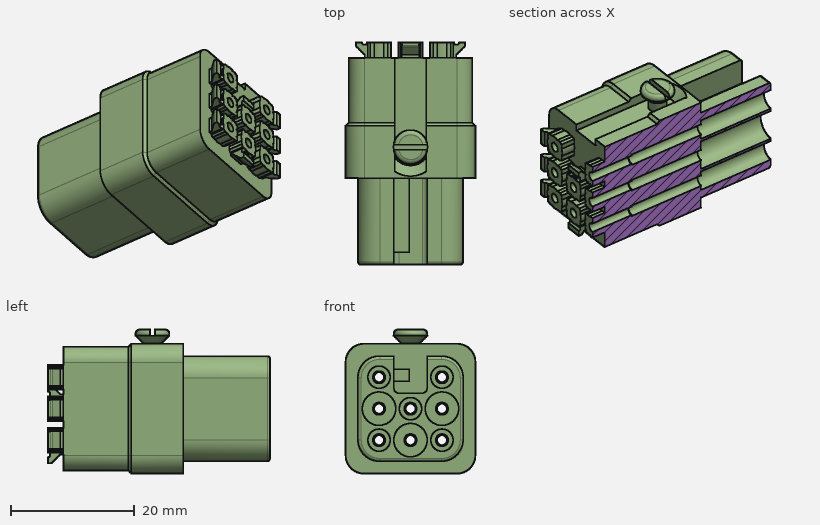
import cadquery as cq
import math


flange_size = 21.0
flange_corner = 3.0
flange_length = 8.9
wall_step = 0.5
body_size = flange_size - 2 * wall_step
body_corner = flange_corner - wall_step
housing_length = 19.4
plug_size = 17.0
plug_corner = 3.5
plug_length = 14.0
plug_edge_radius = 0.5

slot_width = 5.35
slot_floor_z = 2.5
slot_corner = 0.8
rib_width = 2.5
rib_bottom_z = 4.4
rib_top_z = 6.35
rib_setback = 2.0

groove_width = 5.1
groove_radius = 3.0
groove_floor_z = 8.8
screw_y = 5.0
screw_shank_diameter = 3.0
screw_head_diameter = 5.5
screw_top_z = 12.8
screw_crown_radius = 0.75
screw_rim_height = 0.25
driver_slot_width = 0.8
driver_slot_depth = 1.0

pitch = 5.08
wide_bore = 5.4
narrow_bore = 3.6
bore_depth = plug_length
contact_bore = 2.0
contact_bore_depth = plug_length
through_bore = 1.6
contact_diameter = 4.0
contact_flats = 3.72
contact_chamfer_along = 0.45
contact_chamfer_across = 0.25
contact_length = 2.5

hook_width = 2.8
hook_reach = 3.75
hook_neck = 2.33
hook_tip_height = 0.6
hook_tip_radius = 0.4
notch_reach = 2.75
notch_depth = 0.35
notch_radius = 0.3

contacts = [
    (-1, 1, narrow_bore, 180),
    (-1, 0, wide_bore, 180),
    (-1, -1, narrow_bore, 180),
    (1, 1, narrow_bore, 0),
    (1, 0, wide_bore, 0),
    (1, -1, narrow_bore, 0),
    (0, 0, narrow_bore, 90),
    (0, -1, wide_bore, -90),
]

root_depth = 1.0

front_y = -plug_length
contact_end_y = housing_length + contact_length


def section(y):
    """Sketch plane facing +Y at the given y; local (u, v) map to (-X, Z)."""
    return cq.Workplane(cq.Plane(origin=(0, y, 0), xDir=(-1, 0, 0), normal=(0, 1, 0)))


def box(x_min, x_max, y_min, y_max, z_min, z_max):
    size = (x_max - x_min, y_max - y_min, z_max - z_min)
    return cq.Workplane("XY").box(*size, centered=False).translate((x_min, y_min, z_min))


def square_prism(size, corner, y_start, y_end):
    return section(y_start).rect(size, size).extrude(y_end - y_start).edges("|Y").fillet(corner)


def make_housing():
    flange = square_prism(flange_size, flange_corner, 0, flange_length)
    flange = flange.faces(">Y").chamfer(wall_step)
    body = square_prism(body_size, body_corner, 0, housing_length)
    plug = square_prism(plug_size, plug_corner, front_y, 0)
    plug = plug.faces("<Y").edges().fillet(plug_edge_radius)
    return flange.union(body).union(plug)


def make_coding_slot():
    """Slot along the top of the plug, less the rib left on its -X wall."""
    half = slot_width / 2
    top = plug_size / 2
    slot = box(-half, half, front_y, 0, slot_floor_z, top)
    slot = slot.edges("|Y and <Z").fillet(slot_corner)
    rib = box(-half, rib_width - half, front_y + rib_setback, 0, rib_bottom_z, rib_top_z)
    return slot.cut(rib)


def make_screw_groove():
    """Groove open at the wire side, closed by a 45 degree cone around the screw."""
    depth = flange_size / 2 - groove_floor_z
    cone = cq.Workplane(
        cq.Solid.makeCone(
            groove_radius,
            groove_radius + depth,
            depth,
            pnt=cq.Vector(0, screw_y, groove_floor_z),
        )
    )
    half = groove_width / 2
    top = flange_size / 2
    run = box(-half, half, screw_y, housing_length, groove_floor_z, top)
    strip = box(-half, half, 0, housing_length, groove_floor_z, top)
    return cone.intersect(strip).union(run)


def make_screw():
    head_radius = screw_head_diameter / 2
    shank_radius = screw_shank_diameter / 2
    crown_z = screw_top_z - screw_crown_radius
    rim_z = crown_z - screw_rim_height
    cone_bottom_z = rim_z - (head_radius - shank_radius)
    crown_mid = screw_crown_radius * math.sqrt(0.5)
    crown_center = head_radius - screw_crown_radius
    screw = (
        cq.Workplane("XZ")
        .moveTo(0, groove_floor_z - root_depth)
        .lineTo(shank_radius, groove_floor_z - root_depth)
        .lineTo(shank_radius, cone_bottom_z)
        .lineTo(head_radius, rim_z)
        .lineTo(head_radius, crown_z)
        .threePointArc((crown_center + crown_mid, crown_z + crown_mid), (crown_center, screw_top_z))
        .lineTo(0, screw_top_z)
        .close()
        .revolve(360, (0, 0), (0, 1))
    )
    half = driver_slot_width / 2
    slot = box(-head_radius, head_radius, -half, half, screw_top_z - driver_slot_depth, screw_top_z)
    return screw.cut(slot).translate((0, screw_y, 0))


def make_contact(hook_angle):
    """Round barrel merged with an eight-sided stub, carrying one latch hook."""
    start_y = housing_length - root_depth
    length = contact_end_y - start_y
    flat = contact_flats / 2
    narrow = flat - contact_chamfer_along
    low = flat - contact_chamfer_across
    outline = [
        (flat, low),
        (narrow, flat),
        (-narrow, flat),
        (-flat, low),
        (-flat, -low),
        (-narrow, -flat),
        (narrow, -flat),
        (flat, -low),
    ]
    stub = section(start_y).polyline(outline).close().extrude(length)
    barrel = section(start_y).circle(contact_diameter / 2).extrude(length)

    tip_y = contact_end_y - hook_tip_height
    neck_y = tip_y - (hook_reach - hook_neck)
    hook = (
        cq.Workplane("XY")
        .moveTo(0, start_y)
        .lineTo(hook_neck, start_y)
        .lineTo(hook_neck, neck_y)
        .lineTo(hook_reach, tip_y)
        .lineTo(hook_reach, contact_end_y)
        .lineTo(0, contact_end_y)
        .close()
        .extrude(hook_width / 2, both=True)
    )
    hook = hook.edges(cq.NearestToPointSelector((hook_reach, tip_y, 0))).fillet(hook_tip_radius)
    half = hook_width / 2
    notch = box(flat, notch_reach, contact_end_y - notch_depth, contact_end_y, -half, half)
    notch = notch.edges("|Z and <Y").fillet(notch_radius)
    contact = stub.union(hook.cut(notch)).union(barrel)
    return contact.rotate((0, 0, 0), (0, 1, 0), -hook_angle)


def make_bore(front_bore):
    """Stepped bore through the whole connector, widest at the plug face."""
    bore = section(front_y).circle(through_bore / 2).extrude(contact_end_y - front_y)
    middle = section(front_y).circle(contact_bore / 2).extrude(bore_depth + contact_bore_depth)
    mouth = section(front_y).circle(front_bore / 2).extrude(bore_depth)
    return bore.union(middle).union(mouth)


result = make_housing().cut(make_coding_slot()).cut(make_screw_groove()).union(make_screw())
for column, row, front_bore, hook_angle in contacts:
    place = (column * pitch, 0, row * pitch)
    result = result.union(make_contact(hook_angle).translate(place))
    result = result.cut(make_bore(front_bore).translate(place))